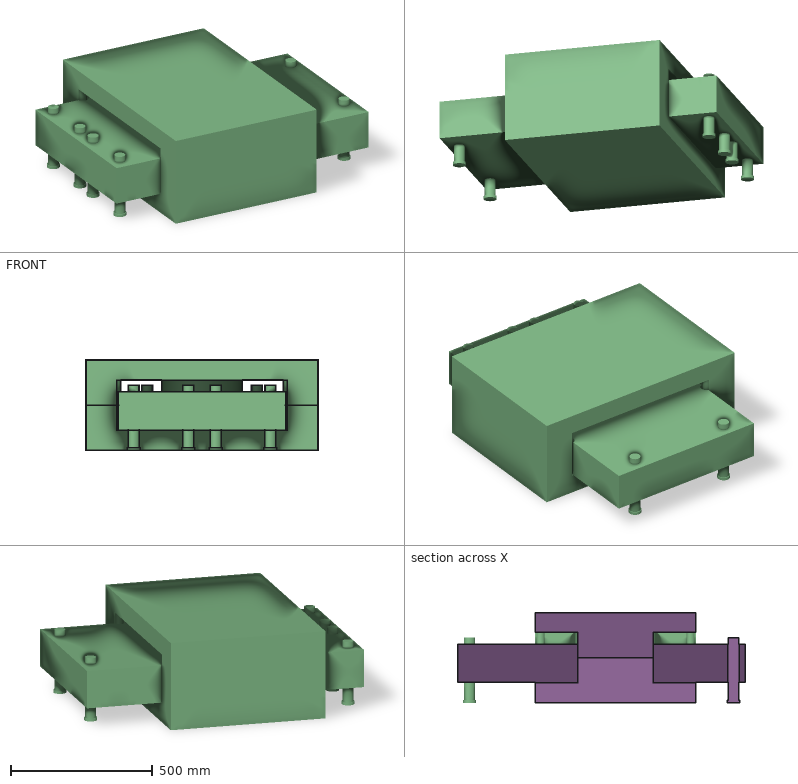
import cadquery as cq
CORE_WIDTH = 823.0
CORE_LENGTH = 571.0
CORE_HEIGHT = 320.0
CORE_BASE = 0.7
HALF_HEIGHT = CORE_HEIGHT / 2
PARTING_LEVEL = CORE_BASE + HALF_HEIGHT

WINDOW_WIDTH = 603.0
WINDOW_HEIGHT = 178.0
WINDOW_BOTTOM = PARTING_LEVEL - WINDOW_HEIGHT / 2
CENTRE_POST_DIAMETER = 286.0
RIB_DIAMETER = 29.0
RIB_INSET = 19.0
RIB_NOTCH_DIAMETER = 41.0

CASE_WIDTH = 591.0
CASE_HEIGHT = 137.0
CASE_LENGTH = 1021.0
CASE_FRONT_OVERHANG = 176.0

PIN_DIAMETER = 39.0
PIN_RISE = 22.0
PIN_HEAD_DIAMETER = 46.0
PIN_HEAD_HEIGHT = 10.0
PIN_EDGE_DISTANCE = 43.0
FRONT_PIN_OFFSETS = (48.0, 242.0)
REAR_PIN_OFFSET = 194.0

FRONT_FACE = -CORE_LENGTH / 2
CASE_FRONT = FRONT_FACE - CASE_FRONT_OVERHANG
CASE_REAR = CASE_FRONT + CASE_LENGTH
CASE_TOP = WINDOW_BOTTOM + CASE_HEIGHT

RIB_Y = CORE_LENGTH / 2 - RIB_INSET
RIB_CENTRES = [(x_side * WINDOW_WIDTH / 2, y_side * RIB_Y) for x_side in (-1, 1) for y_side in (-1, 1)]

FRONT_PIN_Y = CASE_FRONT + PIN_EDGE_DISTANCE
REAR_PIN_Y = CASE_REAR - PIN_EDGE_DISTANCE
PIN_CENTRES = [(side * x, FRONT_PIN_Y) for side in (-1, 1) for x in FRONT_PIN_OFFSETS]
PIN_CENTRES += [(side * REAR_PIN_OFFSET, REAR_PIN_Y) for side in (-1, 1)]


def box(width, length, height, bottom):
    """Box centred in X and Y, standing on the given level."""
    return cq.Workplane("XY", origin=(0, 0, bottom)).box(width, length, height, centered=(True, True, False))


def window_cylinders(centres, diameter):
    """Upright cylinders spanning the full height of the core window."""
    return (
        cq.Workplane("XY", origin=(0, 0, WINDOW_BOTTOM))
        .pushPoints(centres)
        .circle(diameter / 2)
        .extrude(WINDOW_HEIGHT)
    )


def make_core_half(bottom):
    """Half of the core: outer block, winding window, round centre post and side ribs."""
    window = box(WINDOW_WIDTH, CORE_LENGTH, WINDOW_HEIGHT, WINDOW_BOTTOM)
    core = box(CORE_WIDTH, CORE_LENGTH, CORE_HEIGHT, CORE_BASE).cut(window)
    core = core.union(window_cylinders([(0, 0)], CENTRE_POST_DIAMETER))
    core = core.union(window_cylinders(RIB_CENTRES, RIB_DIAMETER))
    return core.intersect(box(CORE_WIDTH, CORE_LENGTH, HALF_HEIGHT, bottom))


def make_pin(centre):
    """Terminal pin with a wider head at its lower end."""
    x, y = centre
    head = cq.Workplane("XY", origin=(x, y, 0)).circle(PIN_HEAD_DIAMETER / 2).extrude(PIN_HEAD_HEIGHT)
    shank = cq.Workplane("XY", origin=(x, y, 0)).circle(PIN_DIAMETER / 2).extrude(CASE_TOP + PIN_RISE)
    return head.union(shank)


def make_winding_case():
    """Winding block around the centre post, with clearance notches for the ribs and holes for the pins."""
    case = box(CASE_WIDTH, CASE_LENGTH, CASE_HEIGHT, WINDOW_BOTTOM)
    case = case.translate((0, (CASE_FRONT + CASE_REAR) / 2, 0))
    case = case.cut(window_cylinders([(0, 0)], CENTRE_POST_DIAMETER))
    case = case.cut(window_cylinders(RIB_CENTRES, RIB_NOTCH_DIAMETER))
    return case.cut(window_cylinders(PIN_CENTRES, PIN_DIAMETER))


lower_core = make_core_half(CORE_BASE)
upper_core = make_core_half(PARTING_LEVEL)
winding_case = make_winding_case()
pins = [make_pin(centre) for centre in PIN_CENTRES]

result = cq.Compound.makeCompound(
    [lower_core.val(), upper_core.val(), winding_case.val(), *[pin.val() for pin in pins]]
)